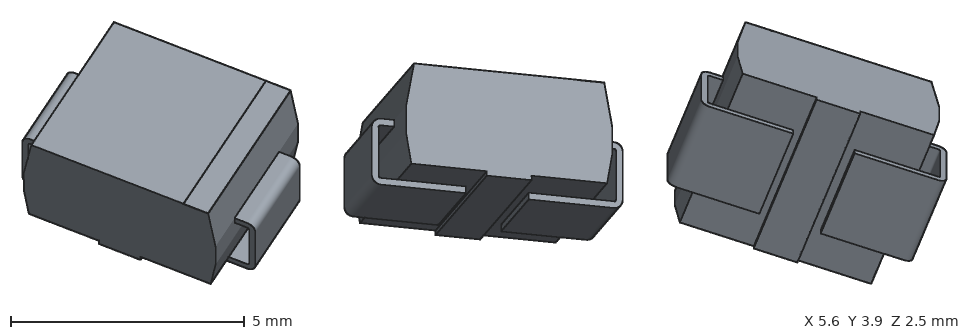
import cadquery as cq

HOUSING_DEPTH = 3.9
HOUSING_TOP_Z = 2.5
HOUSING_BOTTOM_Z = 0.21
WIDEST_HALF = 2.3
TOP_HALF = 2.12
BOTTOM_HALF = 2.185
LOWER_BREAK_Z = 0.9

PAD_HALF = 0.5
PAD_BOTTOM_Z = 0.105

BAND_START_X = 1.53
BAND_THICKNESS = 0.01

LEAD_OUTER_X = 2.8
LEAD_END_X = 0.7
LEAD_TOP_Z = 1.5
LEAD_WIDTH = 2.1
LEAD_THICKNESS = 0.15
BEND_OUTER_RADIUS = 0.2
BEND_INNER_RADIUS = BEND_OUTER_RADIUS - LEAD_THICKNESS

UPPER_BREAK_Z = LEAD_TOP_Z


def extrude_along_y(profile, depth):
    """Extrude an XZ profile by depth, centred on Y = 0."""
    return profile.extrude(depth / 2, both=True)


def make_moulding():
    """Whole moulded outline: tapered sides and the standoff pad."""
    profile = (
        cq.Workplane("XZ")
        .moveTo(-TOP_HALF, HOUSING_TOP_Z)
        .lineTo(TOP_HALF, HOUSING_TOP_Z)
        .lineTo(WIDEST_HALF, UPPER_BREAK_Z)
        .lineTo(WIDEST_HALF, LOWER_BREAK_Z)
        .lineTo(BOTTOM_HALF, HOUSING_BOTTOM_Z)
        .lineTo(PAD_HALF, HOUSING_BOTTOM_Z)
        .lineTo(PAD_HALF, PAD_BOTTOM_Z)
        .lineTo(-PAD_HALF, PAD_BOTTOM_Z)
        .lineTo(-PAD_HALF, HOUSING_BOTTOM_Z)
        .lineTo(-BOTTOM_HALF, HOUSING_BOTTOM_Z)
        .lineTo(-WIDEST_HALF, LOWER_BREAK_Z)
        .lineTo(-WIDEST_HALF, UPPER_BREAK_Z)
        .close()
    )
    return extrude_along_y(profile, HOUSING_DEPTH)


def make_band_zone():
    """Box around the corner of the moulding that the polarity band fills."""
    zone_length = WIDEST_HALF - BAND_START_X
    return (
        cq.Workplane("XY")
        .box(zone_length, HOUSING_DEPTH, BAND_THICKNESS, centered=(False, True, False))
        .translate((BAND_START_X, 0, HOUSING_TOP_Z - BAND_THICKNESS))
    )


def make_housing():
    """Moulding with the shallow recess for the polarity band."""
    return make_moulding().cut(make_band_zone())


def make_band():
    """Polarity band, its outer edge following the housing taper."""
    return make_moulding().intersect(make_band_zone())


def make_lead(side):
    """C-shaped lead on one side: -1 for the -X end, +1 for the +X end."""
    housing_face_x = side * WIDEST_HALF
    outer_x = side * LEAD_OUTER_X
    inner_x = side * (LEAD_OUTER_X - LEAD_THICKNESS)
    end_x = side * LEAD_END_X

    profile = (
        cq.Workplane("XZ")
        .moveTo(housing_face_x, LEAD_TOP_Z)
        .lineTo(outer_x, LEAD_TOP_Z)
        .lineTo(outer_x, 0)
        .lineTo(end_x, 0)
        .lineTo(end_x, LEAD_THICKNESS)
        .lineTo(inner_x, LEAD_THICKNESS)
        .lineTo(inner_x, LEAD_TOP_Z - LEAD_THICKNESS)
        .lineTo(housing_face_x, LEAD_TOP_Z - LEAD_THICKNESS)
        .close()
    )
    strip = extrude_along_y(profile, LEAD_WIDTH)

    outer_face = ">X" if side > 0 else "<X"
    strip = strip.faces(outer_face).edges("|Y").fillet(BEND_OUTER_RADIUS)

    inner_corners = cq.selectors.BoxSelector(
        (inner_x - LEAD_THICKNESS / 2, -LEAD_WIDTH, 0),
        (inner_x + LEAD_THICKNESS / 2, LEAD_WIDTH, LEAD_TOP_Z),
    )
    return strip.edges("|Y").edges(inner_corners).fillet(BEND_INNER_RADIUS)


housing = make_housing()
band = make_band()
leads = [make_lead(side) for side in (-1, 1)]

result = cq.Compound.makeCompound([housing.val(), band.val(), *[lead.val() for lead in leads]])